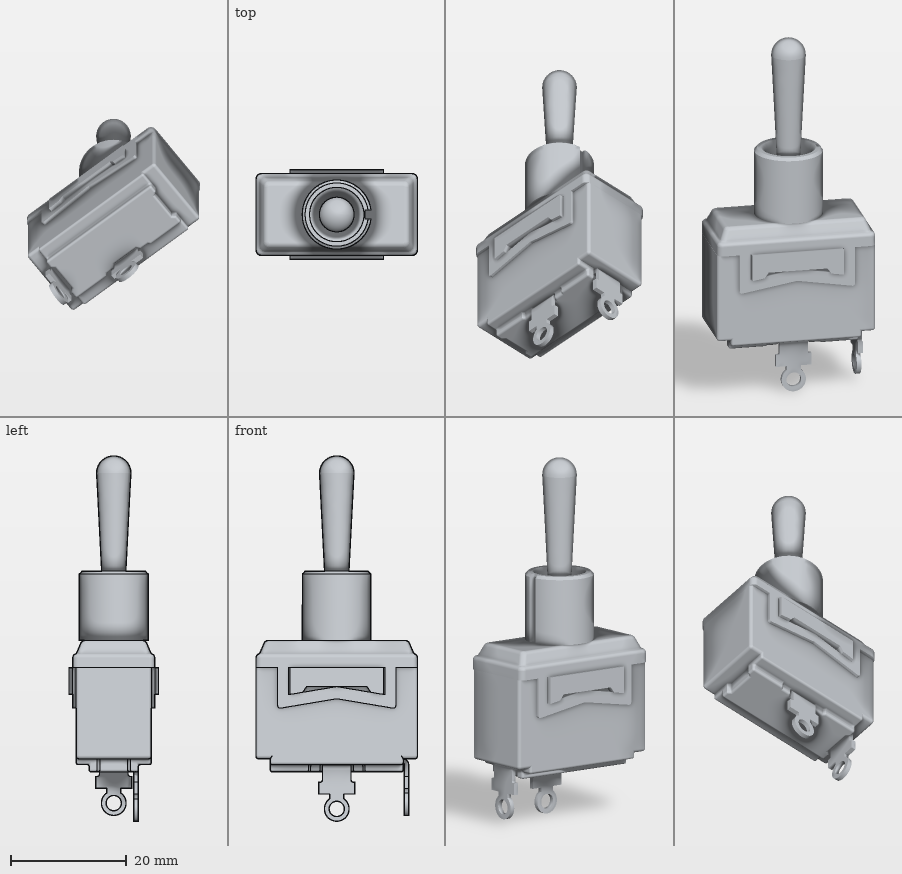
import cadquery as cq
import math


SELECT_MARGIN = 0.01

LEVER_TIP_Z = 31.9
LEVER_TIP_RADIUS = 3.0
LEVER_ROOT_RADIUS = 2.0
LEVER_EMBED = 0.5

BUSHING_RADIUS = 5.97
BUSHING_HEIGHT = 11.95
BUSHING_CHAMFER = 0.5
CONE_MOUTH_RADIUS = 4.7
CONE_ROOT_RADIUS = 2.7
CONE_DEPTH = 2.0
KEYWAY_WIDTH = 1.6
KEYWAY_FLOOR_X = 4.85

COVER_LENGTH = 27.94
COVER_WIDTH = 14.2
COVER_BOTTOM_Z = -4.7
RIM_FILLET_START_Z = -3.02
RIM_FILLET = 0.7
COVER_CORNER_RADIUS = 1.0
ROOF_INSET = 1.6
ROOF_DRAFT = 23.0
ROOF_FILLET = 0.9
ROOF_FOOT_FILLET = 0.5

BODY_LENGTH = 28.0
BODY_WIDTH = 13.0
BODY_EDGE_FILLET = 0.55
BODY_END_Z = -20.5
MIDDLE_BOTTOM_Z = -21.5
BASE_BOTTOM_Z = -22.75
BASE_LENGTH = 23.0
BASE_WIDTH = 8.55
BOTTOM_FILLET = 0.4
STEP_FILLET = 0.3

RECESS_DEPTH = 0.4
NOTCH_DEPTH = 0.6
RECESS_HALF = 4.5
NOTCH_HALF = 2.4
NOTCH_FLARE = 0.5
RECESS_FLARE = 0.4

V_SLOPE = math.tan(math.radians(9.5))
TONGUE_HALF = 10.2
TONGUE_PEAK_Z = -10.1
TONGUE_CORNER_RADIUS = 0.4
WINDOW_HALF = 8.3
WINDOW_PEAK_Z = -8.0
LATCH_HALF = 8.1
LATCH_SPAN = 15.5
LATCH_RELIEF_HALF = 5.2
LATCH_RELIEF_FOOT_HALF = 5.9

TERMINAL_THICKNESS = 0.82
BEND_RADIUS = 1.0
NECK_WIDTH = 5.0
NECK_FILLET = 0.3
FLANGE_WIDTH = 6.3
FLANGE_TOP = 3.0
FLANGE_BOTTOM = 5.1
STEM_WIDTH = 2.5
EYE_CENTER = 7.64
EYE_RADIUS = 2.15
EYE_HOLE_DIAMETER = 2.6
TERMINAL_ROOT = 2.5
SIDE_TERMINAL_FACE = 12.45


def block(length, width, bottom, top):
    """Box centred on the Z axis between two heights."""
    return cq.Workplane("XY").workplane(offset=bottom).rect(length, width).extrude(top - bottom)


def make_lever():
    shoulder_z = LEVER_TIP_Z - LEVER_TIP_RADIUS
    root_z = BUSHING_HEIGHT - CONE_DEPTH - LEVER_EMBED
    arc_leg = LEVER_TIP_RADIUS * math.sqrt(0.5)
    return (
        cq.Workplane("XZ")
        .moveTo(0, root_z)
        .lineTo(LEVER_ROOT_RADIUS, root_z)
        .lineTo(LEVER_TIP_RADIUS, shoulder_z)
        .threePointArc((arc_leg, shoulder_z + arc_leg), (0, LEVER_TIP_Z))
        .close()
        .revolve(360, (0, 0), (0, 1))
    )


def make_bushing():
    cone_floor_z = BUSHING_HEIGHT - CONE_DEPTH
    bushing = (
        cq.Workplane("XZ")
        .moveTo(0, 0)
        .lineTo(BUSHING_RADIUS, 0)
        .lineTo(BUSHING_RADIUS, BUSHING_HEIGHT - BUSHING_CHAMFER)
        .lineTo(BUSHING_RADIUS - BUSHING_CHAMFER, BUSHING_HEIGHT)
        .lineTo(CONE_MOUTH_RADIUS, BUSHING_HEIGHT)
        .lineTo(CONE_ROOT_RADIUS, cone_floor_z)
        .lineTo(0, cone_floor_z)
        .close()
        .revolve(360, (0, 0), (0, 1))
    )
    keyway_depth = BUSHING_RADIUS - KEYWAY_FLOOR_X
    keyway = block(2 * keyway_depth, KEYWAY_WIDTH, 0, BUSHING_HEIGHT)
    return bushing.cut(keyway.translate((BUSHING_RADIUS, 0, 0)))


def make_cover():
    rim = block(COVER_LENGTH, COVER_WIDTH, COVER_BOTTOM_Z, RIM_FILLET_START_Z + RIM_FILLET)
    rim = rim.edges("|Z").fillet(COVER_CORNER_RADIUS).faces(">Z").edges().fillet(RIM_FILLET)

    roof_height = -RIM_FILLET_START_Z
    foot_inset = ROOF_INSET - roof_height * math.tan(math.radians(ROOF_DRAFT))
    roof = (
        cq.Workplane("XY")
        .workplane(offset=RIM_FILLET_START_Z)
        .rect(COVER_LENGTH - 2 * foot_inset, COVER_WIDTH - 2 * foot_inset)
        .extrude(roof_height, taper=ROOF_DRAFT)
    )
    roof = roof.edges("not (#Z or |X or |Y)").fillet(COVER_CORNER_RADIUS)
    cover = rim.union(roof)

    shoulder_seam = cq.selectors.BoxSelector(
        (-COVER_LENGTH / 2 + foot_inset, -COVER_WIDTH / 2 + foot_inset, RIM_FILLET_START_Z),
        (COVER_LENGTH / 2 - foot_inset, COVER_WIDTH / 2 - foot_inset, -ROOF_FILLET),
    )
    cover = cover.edges(shoulder_seam).fillet(ROOF_FOOT_FILLET)
    return cover.faces(">Z").edges().fillet(ROOF_FILLET)


def v_outline(half_width, peak_z):
    """Panel hanging from the cover, with a shallow inverted V as its lower edge."""
    foot_z = peak_z - half_width * V_SLOPE
    return cq.Workplane("XZ").polyline(
        [
            (-half_width, COVER_BOTTOM_Z),
            (half_width, COVER_BOTTOM_Z),
            (half_width, foot_z),
            (0, peak_z),
            (-half_width, foot_z),
        ]
    ).close()


def make_tongues():
    tongues = v_outline(TONGUE_HALF, TONGUE_PEAK_Z).extrude(COVER_WIDTH / 2, both=True)
    tongues = tongues.edges("|Y").edges("<Z").fillet(TONGUE_CORNER_RADIUS)
    return tongues.cut(v_outline(WINDOW_HALF, WINDOW_PEAK_Z).extrude(COVER_WIDTH, both=True))


def make_latches():
    latches = v_outline(LATCH_HALF, WINDOW_PEAK_Z).extrude(LATCH_SPAN / 2, both=True)
    relief_foot_z = WINDOW_PEAK_Z - LATCH_RELIEF_FOOT_HALF * V_SLOPE
    relief = (
        cq.Workplane("XZ")
        .polyline(
            [
                (-LATCH_RELIEF_HALF, WINDOW_PEAK_Z),
                (LATCH_RELIEF_HALF, WINDOW_PEAK_Z),
                (LATCH_RELIEF_FOOT_HALF, relief_foot_z),
                (-LATCH_RELIEF_FOOT_HALF, relief_foot_z),
            ]
        )
        .close()
        .extrude(LATCH_SPAN, both=True)
    )
    return latches.cut(relief)


def end_notch_outline(side):
    """Plan points of the notch at one end of the base; side is +1 or -1 along X."""
    face = side * BASE_LENGTH / 2
    floor = face - side * NOTCH_DEPTH
    mouth_half = NOTCH_HALF + NOTCH_FLARE
    return [
        (face, -side * mouth_half),
        (floor, -side * NOTCH_HALF),
        (floor, side * NOTCH_HALF),
        (face, side * mouth_half),
    ]


def base_end_outline(side):
    """Plan points of one whole end of the base."""
    face = side * BASE_LENGTH / 2
    corner_y = side * BASE_WIDTH / 2
    return [(face, -corner_y)] + end_notch_outline(side) + [(face, corner_y)]


def base_front_outline():
    """Plan points along the front of the base, with a shallow recess and a notch inside it."""
    face = -BASE_WIDTH / 2
    recess_floor = face + RECESS_DEPTH
    notch_floor = recess_floor + NOTCH_DEPTH
    left_half = [
        (-RECESS_HALF - RECESS_FLARE, face),
        (-RECESS_HALF, recess_floor),
        (-NOTCH_HALF - NOTCH_FLARE, recess_floor),
        (-NOTCH_HALF, notch_floor),
    ]
    return left_half + [(-x, y) for x, y in reversed(left_half)]


def make_body():
    ends = block(BODY_LENGTH, BODY_WIDTH, BODY_END_Z, COVER_BOTTOM_Z)
    ends = ends.edges("|Z or <Z").fillet(BODY_EDGE_FILLET)

    middle = block(BASE_LENGTH, BODY_WIDTH, MIDDLE_BOTTOM_Z, COVER_BOTTOM_Z)
    middle = middle.edges("|Z").fillet(BOTTOM_FILLET)
    middle = middle.faces("<Z").edges("<Y or >Y").fillet(BOTTOM_FILLET)
    for side in (-1, 1):
        notch = cq.Workplane("XY").workplane(offset=MIDDLE_BOTTOM_Z).polyline(end_notch_outline(side))
        middle = middle.cut(notch.close().extrude(BODY_END_Z - MIDDLE_BOTTOM_Z))

    base = (
        cq.Workplane("XY")
        .workplane(offset=BASE_BOTTOM_Z)
        .polyline(base_end_outline(-1) + base_front_outline() + base_end_outline(1))
        .close()
        .extrude(BODY_END_Z - BASE_BOTTOM_Z)
    )
    base = base.edges("|Z").edges("<X or >X").edges("<Y or >Y").fillet(BOTTOM_FILLET)
    base = base.faces("<Z").edges().fillet(BOTTOM_FILLET)

    lower = middle.union(base)
    half_length = BASE_LENGTH / 2 - BOTTOM_FILLET - SELECT_MARGIN
    half_width = BASE_WIDTH / 2 + SELECT_MARGIN
    underside = cq.selectors.BoxSelector(
        (-half_length, -half_width, MIDDLE_BOTTOM_Z - SELECT_MARGIN),
        (half_length, half_width, MIDDLE_BOTTOM_Z + SELECT_MARGIN),
    )
    lower = lower.edges(underside).fillet(STEP_FILLET)
    return ends.union(lower)


def make_terminal():
    """Terminal whose outer face is the plane y = 0, leaving the base toward -Y at z = 0."""
    eye_bottom = EYE_CENTER + EYE_RADIUS
    strip = (
        cq.Workplane("YZ")
        .polyline(
            [
                (0, 0),
                (0, -eye_bottom),
                (TERMINAL_THICKNESS, -eye_bottom),
                (TERMINAL_THICKNESS, -TERMINAL_THICKNESS),
                (TERMINAL_ROOT, -TERMINAL_THICKNESS),
                (TERMINAL_ROOT, 0),
            ]
        )
        .close()
        .extrude(FLANGE_WIDTH / 2, both=True)
    )
    strip = strip.edges("|X and >Z and <Y").fillet(BEND_RADIUS)

    def panel(width, top, bottom):
        return block(width, 2 * TERMINAL_ROOT, -bottom, -top)

    outline = (
        panel(NECK_WIDTH, 0, FLANGE_TOP)
        .union(panel(FLANGE_WIDTH, FLANGE_TOP, FLANGE_BOTTOM))
        .union(panel(STEM_WIDTH, FLANGE_BOTTOM, EYE_CENTER))
    )
    half_neck = NECK_WIDTH / 2 + SELECT_MARGIN
    neck_corners = cq.selectors.BoxSelector(
        (-half_neck, -TERMINAL_ROOT, -FLANGE_TOP - SELECT_MARGIN),
        (half_neck, TERMINAL_ROOT, -FLANGE_TOP + SELECT_MARGIN),
    )
    outline = outline.edges("|Y").edges(neck_corners).fillet(NECK_FILLET)
    eye_plane = cq.Workplane("XZ").center(0, -EYE_CENTER)
    outline = outline.union(eye_plane.circle(EYE_RADIUS).extrude(TERMINAL_ROOT, both=True))
    outline = outline.cut(
        eye_plane.circle(EYE_HOLE_DIAMETER / 2).extrude(2 * TERMINAL_ROOT, both=True)
    )
    return strip.intersect(outline)


def make_terminals():
    front = make_terminal().translate((0, -BASE_WIDTH / 2, MIDDLE_BOTTOM_Z))
    side = make_terminal().translate((0, -SIDE_TERMINAL_FACE, BODY_END_Z))
    return front.union(side.rotate((0, 0, 0), (0, 0, 1), 90))


result = make_body()
for piece in (
    make_cover(),
    make_tongues(),
    make_latches(),
    make_bushing(),
    make_lever(),
    make_terminals(),
):
    result = result.union(piece)